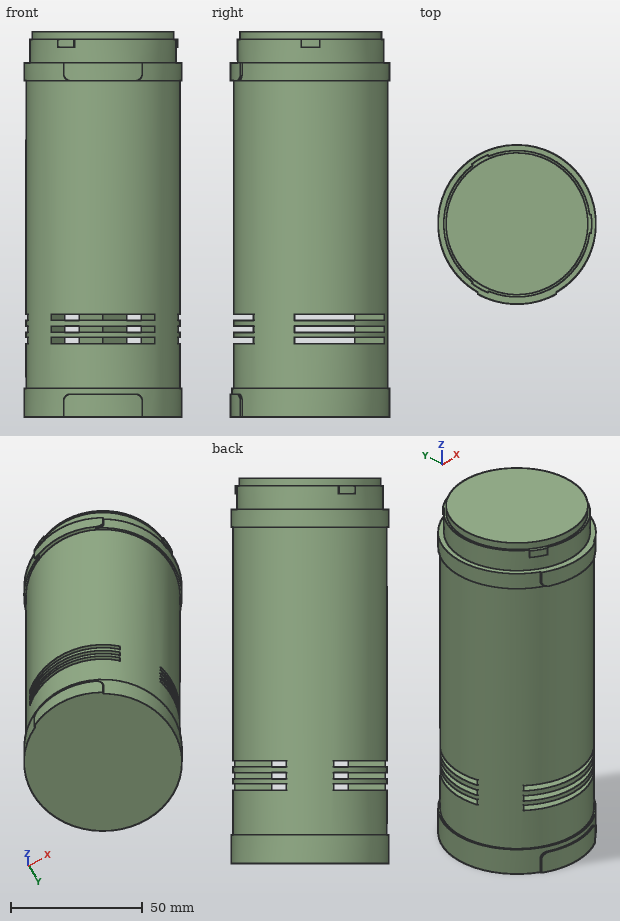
import cadquery as cq
import math

total_height = 146.5
body_radius = 29.3
collar_radius = 30.0
neck_radius = 27.8
cap_radius = 27.0
base_top = 11.0
collar_bottom = 127.9
collar_top = 134.6
neck_top = 143.5

pad_radius = 30.6
pad_width = 29.9
pad_corner_radius = 2.6
base_pad_height = 8.8

tab_radius = 28.4
tab_width = 7.0
tab_height = 3.0

symmetry_count = 3
slot_height = 2.3
slot_bottoms = (28.0, 32.2, 36.8)
pillar_tip_radius = 16.7
pillar_angle = 36.0

sector_angle = 360 / symmetry_count


def disc(radius, bottom, top):
    return cq.Workplane("XY").workplane(offset=bottom).circle(radius).extrude(top - bottom)


def make_body():
    body = disc(body_radius, 0, collar_top)
    body = body.union(disc(collar_radius, 0, base_top))
    body = body.union(disc(collar_radius, collar_bottom, collar_top))
    body = body.union(disc(neck_radius, collar_top, neck_top))
    return body.union(disc(cap_radius, neck_top, total_height))


def make_pad(bottom, top, rounded_edges):
    """Curved pad on the -Y side, with the two chosen corners rounded."""
    block = (
        cq.Workplane("XY")
        .box(pad_width, pad_radius, top - bottom, centered=(True, False, False))
        .translate((0, -pad_radius, bottom))
        .edges(rounded_edges)
        .fillet(pad_corner_radius)
    )
    return block.intersect(disc(pad_radius, bottom, top))


def make_tab(angle):
    bottom = neck_top - tab_height
    block = (
        cq.Workplane("XY")
        .box(tab_radius, tab_width, tab_height, centered=(False, True, False))
        .translate((0, 0, bottom))
        .rotate((0, 0, 0), (0, 0, 1), angle)
    )
    return block.intersect(disc(tab_radius, bottom, neck_top))


def make_pillar(bottom, angle):
    """Wedge pointing inwards, its sides crossing the body surface at the slot ends."""
    half_angle = math.radians(pillar_angle / 2)
    end_x = body_radius * math.cos(half_angle)
    end_y = body_radius * math.sin(half_angle)
    outer_x = 2 * body_radius
    outer_y = end_y * (outer_x - pillar_tip_radius) / (end_x - pillar_tip_radius)
    return (
        cq.Workplane("XY")
        .workplane(offset=bottom)
        .polyline([(pillar_tip_radius, 0), (outer_x, -outer_y), (outer_x, outer_y)])
        .close()
        .extrude(slot_height)
        .rotate((0, 0, 0), (0, 0, 1), angle)
    )


def make_slot(bottom):
    slot = disc(collar_radius, bottom, bottom + slot_height)
    for index in range(symmetry_count):
        slot = slot.cut(make_pillar(bottom, 90 + index * sector_angle))
    return slot


result = make_body()
result = result.union(make_pad(0, base_pad_height, "|Y and >Z"))
result = result.union(make_pad(collar_bottom, collar_top, "|Y and <Z"))

for tab_index in range(symmetry_count):
    result = result.union(make_tab(tab_index * sector_angle))

for slot_bottom in slot_bottoms:
    result = result.cut(make_slot(slot_bottom))